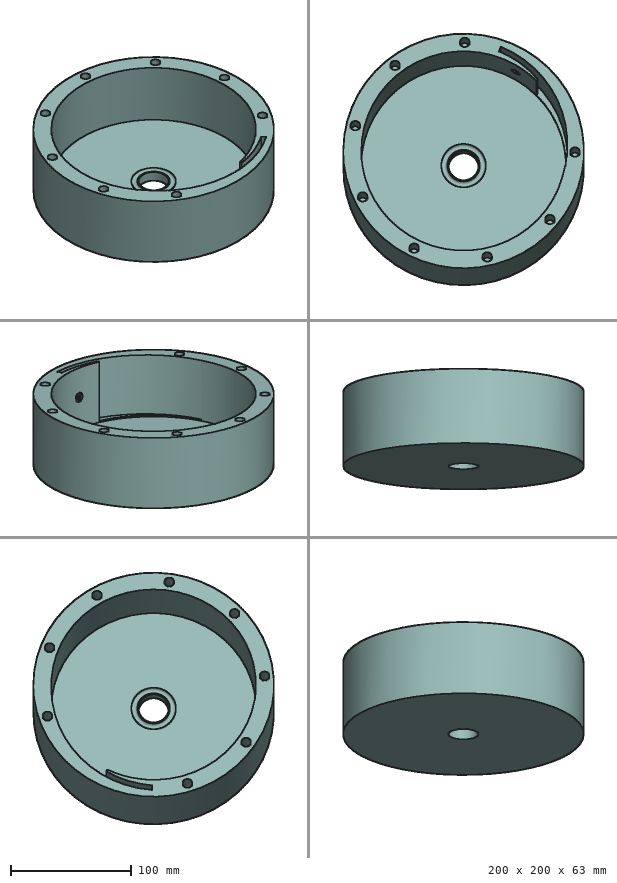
import cadquery as cq
import math

outer_diameter = 200.0
height = 63.0
cavity_diameter = 170.0
floor_thickness = 9.0
bore_diameter = 25.0

groove_inner_diameter = 27.0
groove_outer_diameter = 37.0

screw_diameter = 8.0
screw_depth = 20.0
screw_count = 8
screw_circle_radius = (outer_diameter + cavity_diameter) / 4
first_screw_angle = 30.0
screw_span = 270.0

slot_center = (2.5, 6.5)
slot_outer_radius = 90.5
slot_width = 4.2
slot_inner_radius = slot_outer_radius - slot_width
slot_floor = 10.5
slot_end_angle = 11.5
lip_end_angle = -14.6
slot_run_out_angle = -100.0

cross_hole_diameter = 4.0
counterbore_diameter = 8.0
counterbore_depth = 2.0
cross_hole_height = 36.5


def polar(radius, angle):
    """Point at the given radius and angle in degrees about the housing axis."""
    return (radius * math.cos(math.radians(angle)), radius * math.sin(math.radians(angle)))


def sector(start_angle, end_angle):
    """Wedge about the housing axis that reaches past the wall and up through the rim."""
    reach = outer_diameter
    middle_angle = (start_angle + end_angle) / 2
    return (
        cq.Workplane("XY", origin=(0, 0, slot_floor))
        .lineTo(*polar(reach, start_angle))
        .threePointArc(polar(reach, middle_angle), polar(reach, end_angle))
        .close()
        .extrude(height - slot_floor)
    )


def slot_disc(radius):
    """Disc about the slot centre, from the slot floor to the rim."""
    return (
        cq.Workplane("XY", origin=(0, 0, slot_floor))
        .center(*slot_center)
        .circle(radius)
        .extrude(height - slot_floor)
    )


def make_cup():
    cup = cq.Workplane("XY").circle(outer_diameter / 2).extrude(height)
    cavity = (
        cq.Workplane("XY", origin=(0, 0, floor_thickness))
        .circle(cavity_diameter / 2)
        .extrude(height - floor_thickness)
    )
    bore = cq.Workplane("XY").circle(bore_diameter / 2).extrude(height)
    return cup.cut(cavity).cut(bore)


def make_groove():
    center_radius = (groove_inner_diameter + groove_outer_diameter) / 4
    section_radius = (groove_outer_diameter - groove_inner_diameter) / 4
    return (
        cq.Workplane("XZ")
        .center(center_radius, floor_thickness)
        .circle(section_radius)
        .revolve(360, (-center_radius, 0), (-center_radius, 1))
    )


def make_screw_holes():
    step = screw_span / (screw_count - 1)
    points = [polar(screw_circle_radius, first_screw_angle + i * step) for i in range(screw_count)]
    return (
        cq.Workplane("XY", origin=(0, 0, height - screw_depth))
        .pushPoints(points)
        .circle(screw_diameter / 2)
        .extrude(screw_depth)
    )


def make_slot():
    full_slot = slot_disc(slot_outer_radius).intersect(sector(slot_run_out_angle, slot_end_angle))
    lip = slot_disc(slot_inner_radius).intersect(sector(lip_end_angle, slot_end_angle))
    return full_slot.cut(lip)


def make_cross_hole():
    slot_middle = slot_center[0] + slot_outer_radius - slot_width / 2
    hole = (
        cq.Workplane("YZ")
        .center(0, cross_hole_height)
        .circle(cross_hole_diameter / 2)
        .extrude(slot_middle)
    )
    counterbore = (
        cq.Workplane("YZ")
        .center(0, cross_hole_height)
        .circle(counterbore_diameter / 2)
        .extrude(cavity_diameter / 2 + counterbore_depth)
    )
    return hole.union(counterbore)


result = (
    make_cup()
    .cut(make_groove())
    .cut(make_screw_holes())
    .cut(make_slot())
    .cut(make_cross_hole())
)